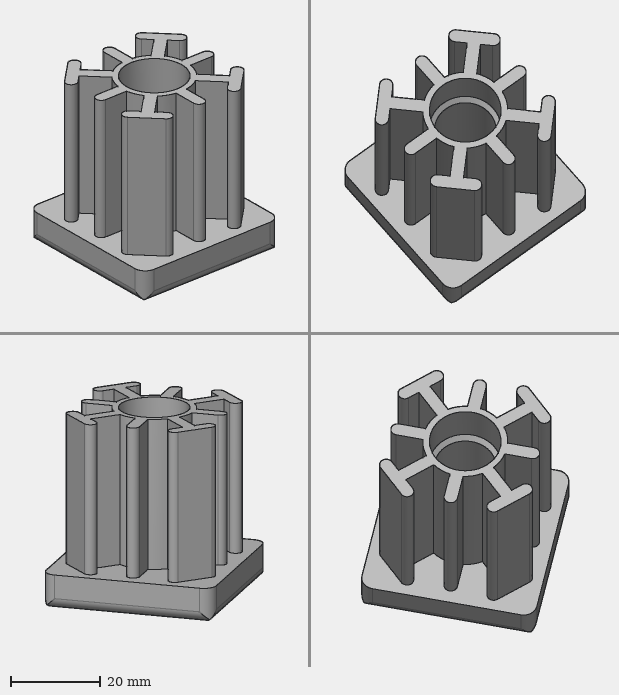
import cadquery as cq

base_side = 40.0
total_height = 43.0
base_height = 8.0
corner_radius = 3.0
edge_radius = 2.5

tube_diameter = 19.0
bore_diameter = 16.0
hole_diameter = 13.85
bore_depth = 9.0

rib_width = 3.0
straight_rib_reach = 17.0
crossbar_distance = 18.25
crossbar_length = 11.55

post_height = total_height - base_height


def make_base():
    plate = cq.Workplane("XY").rect(base_side, base_side).extrude(base_height)
    plate = plate.edges("|Z").fillet(corner_radius)
    block = cq.Workplane("XY").rect(base_side, base_side).extrude(base_height)
    rounded_along_x = block.faces("<Z").edges("|X").fillet(edge_radius)
    rounded_along_y = block.faces("<Z").edges("|Y").fillet(edge_radius)
    return plate.intersect(rounded_along_x).intersect(rounded_along_y)


def post_sketch():
    return cq.Workplane("XY").workplane(offset=base_height)


def make_straight_ribs():
    slot = post_sketch().slot2D(2 * straight_rib_reach, rib_width).extrude(post_height)
    return slot.union(slot.rotate((0, 0, 0), (0, 0, 1), 90))


def make_tee_rib(angle):
    web = post_sketch().center(crossbar_distance / 2, 0)
    web = web.rect(crossbar_distance, rib_width).extrude(post_height)
    crossbar = post_sketch().center(crossbar_distance, 0)
    crossbar = crossbar.slot2D(crossbar_length, rib_width, 90).extrude(post_height)
    return web.union(crossbar).rotate((0, 0, 0), (0, 0, 1), angle)


tube = post_sketch().circle(tube_diameter / 2).extrude(post_height)
result = make_base().union(tube).union(make_straight_ribs())
for quarter in range(4):
    result = result.union(make_tee_rib(45 + 90 * quarter))

bore_radius = bore_diameter / 2
hole_radius = hole_diameter / 2
bore_floor = total_height - bore_depth
step_bottom = bore_floor - (bore_radius - hole_radius)
opening = (
    cq.Workplane("XZ")
    .moveTo(0, 0)
    .lineTo(hole_radius, 0)
    .lineTo(hole_radius, step_bottom)
    .lineTo(bore_radius, bore_floor)
    .lineTo(bore_radius, total_height)
    .lineTo(0, total_height)
    .close()
    .revolve(360, (0, 0, 0), (0, 1, 0))
)
result = result.cut(opening)